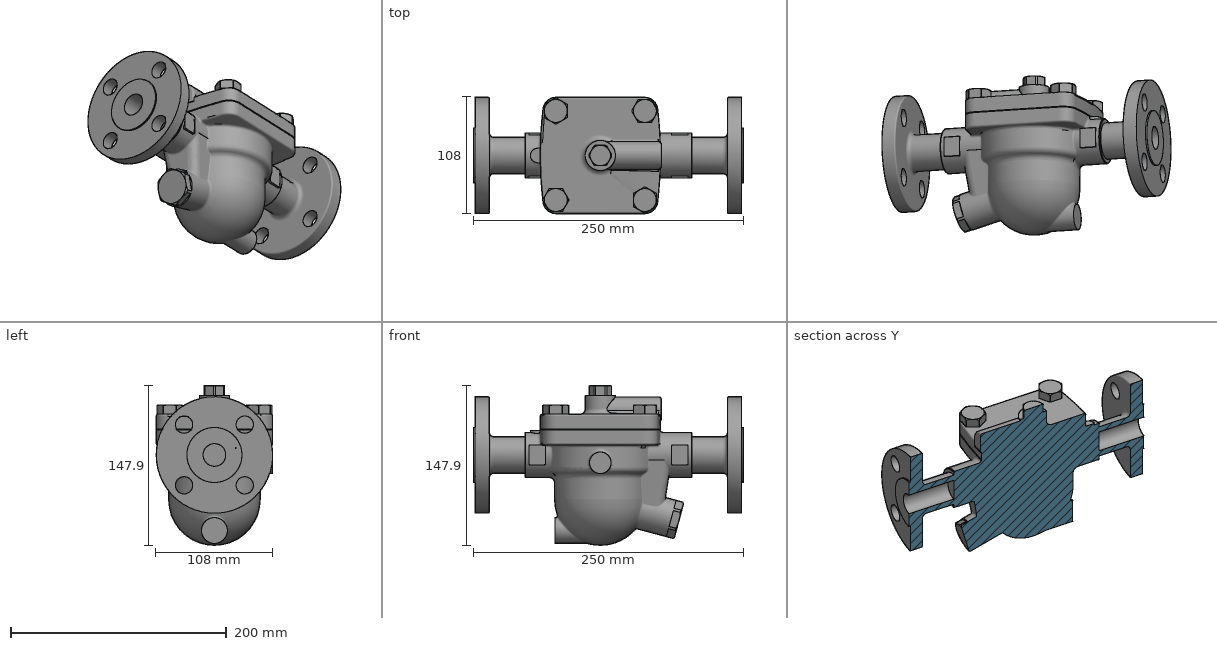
import cadquery as cq
import math

LENGTH = 250.0
BODY_X = -7.5

FLANGE_DIA = 108.0
FLANGE_THICK = 13.2
FLANGE_EDGE_ROUND = 1.5
RAISED_FACE_DIA = 51.0
RAISED_FACE_THICK = 1.5
BOLT_CIRCLE_DIA = 79.5
BOLT_HOLE_DIA = 16.0
BOLT_HOLE_COUNT = 4
PIPE_DIA = 34.0
PIPE_ROOT_FILLET = 4.0
PIPE_OVERLAP = 2.5
BORE_DIA = 21.0

COLLAR_DIA = 42.0
COLLAR_END = 77.5
COLLAR_CHAMFER = 0.8
PAD_WIDTH = 15.2
PAD_HEIGHT = 18.2
PAD_X = 66.0
PAD_CORNER_ROUND = 1.0
INLET_TAB_WIDTH = 13.5
INLET_TAB_TOP = 22.8
INLET_TAB_END = -72.2

PLATE_HALF_Y = FLANGE_DIA / 2
PLATE_HALF_X = 55.8
PLATE_END_HALF_X = 51.8
PLATE_CORNER_RADIUS = 12.5
PLATE_BOTTOM = 9.0
PLATE_JOINT = 23.2
PLATE_TOP = 37.8
PLATE_EDGE_ROUND = 2.0
GASKET_THICK = 0.8
GASKET_INSET = 0.2

BOLT_OFFSET = 41.2
BOLT_FLATS = 21.2
BOLT_CORNER_DIA = 24.2
BOLT_TOP = 46.5

TOP_BOSS_DIA = 28.0
TOP_BOSS_TOP = 55.2
TOP_BOSS_FILLET = 5.2
TOP_BOSS_EDGE_ROUND = 0.8
TOP_PLUG_FLATS = 19.0
TOP_PLUG_CORNER_DIA = 21.0
TOP_PLUG_TOP = 64.2
BULGE_RADIUS = 12.8
BULGE_Z = 41.0
BULGE_BOTTOM = 32.5
BULGE_END = 49.0
BULGE_END_ROUND = 2.2
BULGE_ROOT_FILLET = 2.0

BARREL_RADIUS = 49.0
BOWL_RADIUS = 42.5
BOWL_CENTRE_Z = -41.2
STEP_TOP = -11.5
STEP_BOTTOM = -22.2
PLATE_FILLET = 2.5
COLLAR_FILLET = 2.0
COLLAR_ROOT_FILLET = 4.5

SIDE_BOSS_DIA = 20.0
SIDE_BOSS_END = 54.0
SIDE_BOSS_Z = -7.2
SIDE_BOSS_FILLET = 3.0

DRAIN_DIA = 24.0
DRAIN_Z = -70.0
DRAIN_END = -49.5
DRAIN_FILLET = 1.5

HOLDER_ANGLE = 15.0
HOLDER_DIA = 35.0
HOLDER_LENGTH = 68.0
HOLDER_HEAD_THICK = 7.5
HOLDER_HEAD_FLATS = 31.5
HOLDER_FILLET = 3.0

RIB_TOP = -4.8
RIB_BOTTOM = -55.0
RIB_TOP_HALF_WIDTH = 20.5
RIB_BOTTOM_HALF_WIDTH = 15.5
RIB_TOP_REACH = 58.2
RIB_BOTTOM_REACH = 50.5
RIB_CORNER_RADIUS = 8.0
RIB_FILLET = 1.5

HEAD_BEVEL_ANGLE = 30.0

SEAM_PROBE = 0.4
SEAM_TOLERANCE = 0.002


def x_cylinder(diameter, start, end, z=0.0):
    """Cylinder along X between two X positions."""
    return (
        cq.Workplane("YZ", origin=(start, 0, z))
        .circle(diameter / 2)
        .extrude(end - start)
    )


def z_cylinder(diameter, bottom, top):
    """Cylinder along Z on the body axis."""
    return (
        cq.Workplane("XY", origin=(BODY_X, 0, bottom))
        .circle(diameter / 2)
        .extrude(top - bottom)
    )


def hex_head(plane, flats, corner_dia, height):
    """Hexagon head, corners turned down to corner_dia and bevelled at the outer face."""
    bevel = (corner_dia - flats) / 2
    bevel_height = bevel * math.tan(math.radians(HEAD_BEVEL_ANGLE))
    head = cq.Workplane(plane).polygon(6, 2 * flats / math.sqrt(3)).extrude(height)
    turned = (
        cq.Workplane(plane)
        .circle(corner_dia / 2)
        .extrude(height - bevel_height)
        .faces(cq.DirectionMinMaxSelector(plane.zDir))
        .workplane()
        .circle(corner_dia / 2)
        .workplane(offset=bevel_height)
        .circle(flats / 2)
        .loft()
    )
    return head.intersect(turned)


def blended_union(base, added, radius, wanted=lambda centre: True):
    """Join two bodies and fillet the wanted seams where their surfaces meet."""
    joined = base.union(added)
    own_edges = base.edges().vals() + added.edges().vals()
    seams = []
    for edge in joined.edges().vals():
        probe = cq.Vertex.makeVertex(*edge.positionAt(SEAM_PROBE).toTuple())
        if all(probe.distance(own) > SEAM_TOLERANCE for own in own_edges) and wanted(edge.Center()):
            seams.append(edge)
    return joined.newObject(seams).fillet(radius)


def plate(bottom, top, inset=0.0):
    """Square plate with bowed -X and +X sides and round corners."""
    half_y = PLATE_HALF_Y - inset
    end_x = PLATE_END_HALF_X - inset
    bow_x = PLATE_HALF_X - inset
    return (
        cq.Workplane("XY", origin=(BODY_X, 0, bottom))
        .moveTo(-end_x, -half_y)
        .lineTo(end_x, -half_y)
        .threePointArc((bow_x, 0), (end_x, half_y))
        .lineTo(-end_x, half_y)
        .threePointArc((-bow_x, 0), (-end_x, -half_y))
        .close()
        .extrude(top - bottom)
        .edges("|Z")
        .fillet(PLATE_CORNER_RADIUS - inset)
    )


def pipe_end():
    """Pipe and flange on the +X side."""
    face = LENGTH / 2
    front = face - RAISED_FACE_THICK
    back = front - FLANGE_THICK
    disc = x_cylinder(FLANGE_DIA, back, front).faces("<X").edges().fillet(FLANGE_EDGE_ROUND)
    pipe = x_cylinder(PIPE_DIA, COLLAR_END - PIPE_OVERLAP, back)
    end = blended_union(disc, pipe, PIPE_ROOT_FILLET) if False else disc.union(pipe)
    reach = COLLAR_DIA / 2
    root = cq.selectors.BoxSelector(
        (back - 0.2, -reach, -reach), (back + 0.2, reach, reach), boundingbox=True
    )
    end = end.edges(root).fillet(PIPE_ROOT_FILLET)
    end = end.union(x_cylinder(RAISED_FACE_DIA, front, face))
    holes = (
        cq.Workplane("YZ", origin=(back, 0, 0))
        .polarArray(BOLT_CIRCLE_DIA / 2, 45, 360, BOLT_HOLE_COUNT)
        .circle(BOLT_HOLE_DIA / 2)
        .extrude(FLANGE_THICK)
    )
    return end.cut(holes)


def trap_bowl():
    """Barrel, S-shaped step, lower cylinder and hemispherical bottom."""
    barrel_top = (PLATE_BOTTOM + PLATE_JOINT) / 2
    step_mid = ((BARREL_RADIUS + BOWL_RADIUS) / 2, (STEP_TOP + STEP_BOTTOM) / 2)
    return (
        cq.Workplane("XZ", origin=(BODY_X, 0, 0))
        .moveTo(0, barrel_top)
        .lineTo(BARREL_RADIUS, barrel_top)
        .lineTo(BARREL_RADIUS, STEP_TOP)
        .tangentArcPoint(step_mid, relative=False)
        .tangentArcPoint((BOWL_RADIUS, STEP_BOTTOM), relative=False)
        .lineTo(BOWL_RADIUS, BOWL_CENTRE_Z)
        .radiusArc((0, BOWL_CENTRE_Z - BOWL_RADIUS), BOWL_RADIUS)
        .close()
        .revolve(360, (0, 0, 0), (0, 1, 0))
    )


def rib():
    """Rib that narrows downward, with rounded outer corners."""
    top_length = RIB_TOP_REACH - BODY_X
    bottom_length = RIB_BOTTOM_REACH - BODY_X
    block = (
        cq.Workplane("XY", origin=(BODY_X, 0, RIB_BOTTOM))
        .center(bottom_length / 2, 0)
        .rect(bottom_length, 2 * RIB_BOTTOM_HALF_WIDTH)
        .workplane(offset=RIB_TOP - RIB_BOTTOM)
        .center((top_length - bottom_length) / 2, 0)
        .rect(top_length, 2 * RIB_TOP_HALF_WIDTH)
        .loft(ruled=True)
    )
    return block.faces(">X").edges("not #Z").fillet(RIB_CORNER_RADIUS)


def rib_seam(centre):
    """True for the seams of the rib with the outlet collar and the screen holder."""
    on_collar = centre.x > RIB_BOTTOM_REACH and centre.z > -COLLAR_DIA / 2
    return on_collar or centre.z < BOWL_CENTRE_Z


def holder_plane(distance):
    """Plane square to the screen holder axis, at a distance from the bowl centre."""
    angle = math.radians(HOLDER_ANGLE)
    axis = cq.Vector(math.cos(angle), 0, -math.sin(angle))
    centre = cq.Vector(BODY_X, 0, BOWL_CENTRE_Z)
    upward = (math.sin(angle), 0, math.cos(angle))
    return cq.Plane(centre + axis * distance, upward, axis)


def screen_holder():
    """Inclined round boss of the screen holder."""
    return cq.Workplane(holder_plane(0)).circle(HOLDER_DIA / 2).extrude(HOLDER_LENGTH)


def inlet_tab():
    """Round-ended tab on top of the inlet collar, reaching the plate."""
    radius = INLET_TAB_WIDTH / 2
    centre_x = INLET_TAB_END + radius
    plate_x = BODY_X - PLATE_END_HALF_X
    base = cq.Workplane("XY")
    tab = base.center(centre_x, 0).circle(radius).extrude(INLET_TAB_TOP)
    stem = cq.Workplane("XY").rect(plate_x - centre_x, INLET_TAB_WIDTH).extrude(INLET_TAB_TOP)
    return tab.union(stem.translate(((centre_x + plate_x) / 2, 0, 0)))


def casting():
    """Body with its plate, collars, bosses and rib."""
    lower_plate = plate(PLATE_BOTTOM, PLATE_JOINT).faces("<Z").edges().fillet(PLATE_EDGE_ROUND)
    collars = x_cylinder(COLLAR_DIA, -COLLAR_END, COLLAR_END).edges().chamfer(COLLAR_CHAMFER)
    side_boss = (
        cq.Workplane("XZ", origin=(BODY_X, -SIDE_BOSS_END, SIDE_BOSS_Z))
        .circle(SIDE_BOSS_DIA / 2)
        .extrude(BOWL_RADIUS - SIDE_BOSS_END - SIDE_BOSS_DIA / 2)
    )
    drain = x_cylinder(DRAIN_DIA, DRAIN_END, BODY_X, DRAIN_Z)
    body = blended_union(trap_bowl(), lower_plate, PLATE_FILLET)
    body = blended_union(body, collars, COLLAR_FILLET)
    bowl_core = z_cylinder(2 * BOWL_RADIUS, BOWL_CENTRE_Z, PLATE_JOINT)
    body = body.union(blended_union(bowl_core, collars, COLLAR_ROOT_FILLET))
    body = blended_union(body, screen_holder(), HOLDER_FILLET)
    body = blended_union(body, side_boss, SIDE_BOSS_FILLET)
    body = blended_union(body, drain, DRAIN_FILLET)
    body = blended_union(body, rib(), RIB_FILLET, rib_seam)
    for x in (-PAD_X, PAD_X):
        pad = cq.Workplane("XY").box(PAD_WIDTH, COLLAR_DIA, PAD_HEIGHT)
        pad = pad.edges("|Y").fillet(PAD_CORNER_ROUND)
        body = body.union(pad.translate((x, 0, 0)))
    return body.union(inlet_tab())


def bulge_root():
    """Concave fillets along both sides of the passage bulge."""
    foot = BULGE_RADIUS + BULGE_ROOT_FILLET
    upper = PLATE_TOP + BULGE_ROOT_FILLET
    plate_flat_end = PLATE_HALF_X - PLATE_EDGE_ROUND
    return (
        cq.Workplane("YZ", origin=(BODY_X, 0, 0))
        .moveTo(-foot, PLATE_TOP)
        .radiusArc((-BULGE_RADIUS, upper), -BULGE_ROOT_FILLET)
        .lineTo(BULGE_RADIUS, upper)
        .radiusArc((foot, PLATE_TOP), -BULGE_ROOT_FILLET)
        .close()
        .extrude(plate_flat_end)
    )


def cover():
    """Cover plate with the top plug boss and the passage bulge."""
    plate_bottom = PLATE_JOINT + GASKET_THICK
    top_plate = plate(plate_bottom, PLATE_TOP).faces(">Z").edges().fillet(PLATE_EDGE_ROUND)
    boss = z_cylinder(TOP_BOSS_DIA, plate_bottom, TOP_BOSS_TOP)
    boss = boss.faces(">Z").edges().fillet(TOP_BOSS_EDGE_ROUND)
    bulge = (
        cq.Workplane("YZ", origin=(BODY_X, 0, 0))
        .moveTo(-BULGE_RADIUS, BULGE_BOTTOM)
        .lineTo(BULGE_RADIUS, BULGE_BOTTOM)
        .lineTo(BULGE_RADIUS, BULGE_Z)
        .threePointArc((0, BULGE_Z + BULGE_RADIUS), (-BULGE_RADIUS, BULGE_Z))
        .close()
        .extrude(BULGE_END - BODY_X)
    )
    bulge = bulge.faces(">X").edges("not <Z").fillet(BULGE_END_ROUND)
    body = blended_union(top_plate, boss, TOP_BOSS_FILLET)
    return body.union(bulge).union(bulge_root())


def cover_bolts():
    """Four cover bolt heads, each turned a quarter turn from the next."""
    plane = cq.Plane((BOLT_OFFSET, BOLT_OFFSET, PLATE_TOP))
    head = hex_head(plane, BOLT_FLATS, BOLT_CORNER_DIA, BOLT_TOP - PLATE_TOP)
    heads = cq.Workplane()
    for quarter in range(4):
        heads = heads.add(head.rotate((0, 0, 0), (0, 0, 1), 90 * quarter))
    return heads.combine().translate((BODY_X, 0, 0))


gasket = plate(PLATE_JOINT, PLATE_JOINT + GASKET_THICK, GASKET_INSET)
top_plug = hex_head(
    cq.Plane((BODY_X, 0, TOP_BOSS_TOP)),
    TOP_PLUG_FLATS,
    TOP_PLUG_CORNER_DIA,
    TOP_PLUG_TOP - TOP_BOSS_TOP,
)
holder_plug = hex_head(
    holder_plane(HOLDER_LENGTH), HOLDER_HEAD_FLATS, HOLDER_DIA, HOLDER_HEAD_THICK
)
outlet_pipe = pipe_end()
inlet_pipe = outlet_pipe.mirror("YZ")

result = casting().union(gasket).union(cover()).union(cover_bolts())
result = result.union(top_plug).union(holder_plug).union(outlet_pipe).union(inlet_pipe)

result = result.cut(x_cylinder(BORE_DIA, COLLAR_END, LENGTH / 2))
result = result.cut(x_cylinder(BORE_DIA, -LENGTH / 2, -COLLAR_END))